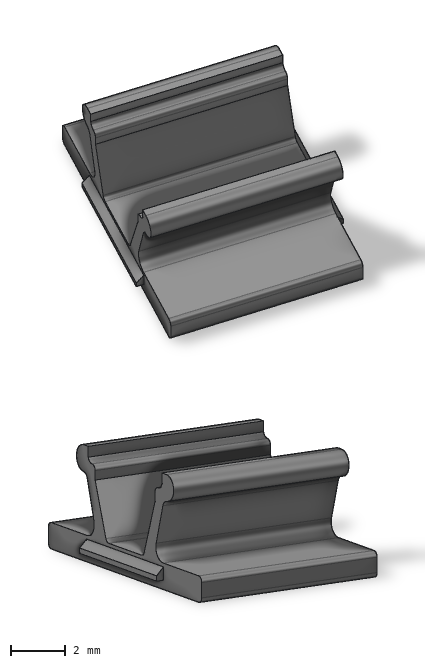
import cadquery as cq
import math

plate_width = 10.5
plate_length = 7.6
plate_thickness = 1.0
plate_corner_radius = 0.21

total_height = 4.37
inner_root_x = 1.26
inner_knee_x = 2.05
inner_knee_z = 3.19
outer_root_x = 1.93
outer_lean = math.radians(17)
inner_root_radius = 0.21
outer_root_radius = 0.5

bead_radius = 0.5
bead_x = 2.82
bead_z = total_height - bead_radius
bead_neck_radius = 0.3
lip_x = 2.52
lip_bottom_z = 3.96
seat_z = 3.76
seat_corner_radius = 0.21

lug_width = 5.27
overall_length = 8.2
lug_projection = (overall_length - plate_length) / 2
lug_bottom_z = 0.36
lug_face_height = 0.2


def arc_point(center, radius, angle):
    """Point on a circle at an angle measured from +X towards +Z."""
    return (center[0] + radius * math.cos(angle), center[1] + radius * math.sin(angle))


def make_plate():
    plate = cq.Workplane("XY").box(plate_width, plate_length, plate_thickness, centered=(True, True, False))
    return plate.edges("|Y").fillet(plate_corner_radius)


def make_arm():
    inner_lean = math.atan2(inner_knee_x - inner_root_x, inner_knee_z - plate_thickness)
    inner_setback = inner_root_radius * math.tan((math.pi / 2 - inner_lean) / 2)
    inner_center = (inner_root_x - inner_setback, plate_thickness + inner_root_radius)
    inner_start = arc_point(inner_center, inner_root_radius, -math.pi / 2)
    inner_middle = arc_point(inner_center, inner_root_radius, -(math.pi / 2 + inner_lean) / 2)
    inner_end = arc_point(inner_center, inner_root_radius, -inner_lean)

    outer_setback = outer_root_radius * math.tan((math.pi / 2 + outer_lean) / 2)
    outer_center = (outer_root_x + outer_setback, plate_thickness + outer_root_radius)
    outer_start = arc_point(outer_center, outer_root_radius, math.pi - outer_lean)
    outer_middle = arc_point(outer_center, outer_root_radius, (5 * math.pi / 2 - outer_lean) / 2)
    outer_end = arc_point(outer_center, outer_root_radius, 3 * math.pi / 2)

    bead_center = (bead_x, bead_z)
    bead_offset = (
        (bead_x - outer_root_x) * math.cos(outer_lean)
        - (bead_z - plate_thickness) * math.sin(outer_lean)
    )
    center_distance = bead_radius + bead_neck_radius
    neck_angle = -outer_lean - math.acos((bead_neck_radius - bead_offset) / center_distance)
    neck_center = arc_point(bead_center, center_distance, neck_angle)
    neck_start = arc_point(bead_center, bead_radius, neck_angle)
    neck_end_angle = math.pi - outer_lean
    neck_middle = arc_point(neck_center, bead_neck_radius, (neck_angle + math.pi + neck_end_angle) / 2)
    neck_end = arc_point(neck_center, bead_neck_radius, neck_end_angle)

    return (
        cq.Workplane("XZ")
        .moveTo(*inner_start)
        .threePointArc(inner_middle, inner_end)
        .lineTo(inner_knee_x, inner_knee_z)
        .lineTo(inner_knee_x, seat_z - seat_corner_radius)
        .tangentArcPoint((inner_knee_x + seat_corner_radius, seat_z), relative=False)
        .tangentArcPoint((lip_x, lip_bottom_z), relative=False)
        .lineTo(lip_x, total_height)
        .lineTo(bead_x, total_height)
        .threePointArc((bead_x + bead_radius, bead_z), neck_start)
        .threePointArc(neck_middle, neck_end)
        .lineTo(*outer_start)
        .threePointArc(outer_middle, outer_end)
        .close()
        .extrude(plate_length / 2, both=True)
    )


def make_lugs():
    end_y = plate_length / 2
    tip_y = end_y + lug_projection
    face_top_z = lug_bottom_z + lug_face_height
    slope_top_z = face_top_z + lug_projection
    outline = [
        (-tip_y, lug_bottom_z),
        (tip_y, lug_bottom_z),
        (tip_y, face_top_z),
        (end_y, slope_top_z),
        (-end_y, slope_top_z),
        (-tip_y, face_top_z),
    ]
    return cq.Workplane("YZ").polyline(outline).close().extrude(lug_width / 2, both=True)


arm = make_arm()
result = make_plate().union(arm).union(arm.mirror("YZ")).union(make_lugs())